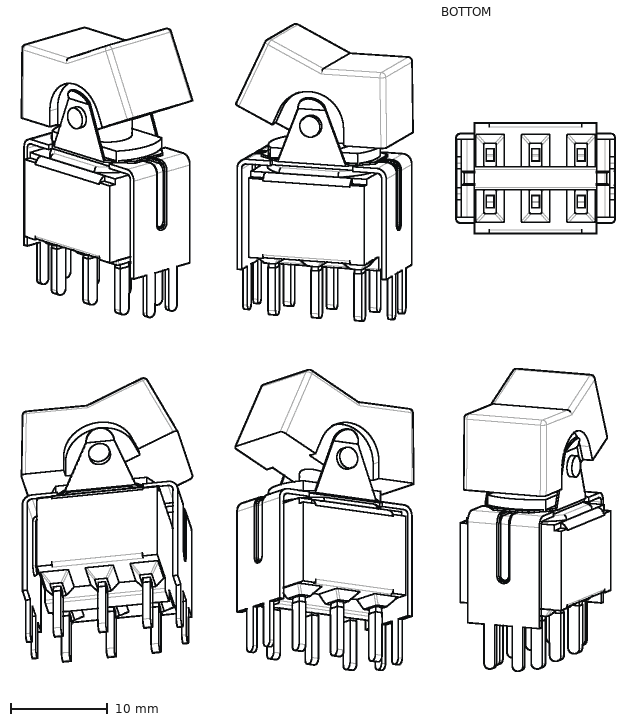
import cadquery as cq
import math


CASE_X = 12.65
CASE_Y = 11.45
CASE_BOTTOM = 6.6
CASE_TOP = 15.53
STRIP_X = 9.53
EDGE_IN = 0.76
EDGE_DROP = 0.76
EDGE_BULGE = 0.132
LEDGE_DROP = 0.6
BOTTOM_ROUND = 0.38
BASE_RIB_Y = 2.35
BASE_RIB_BOTTOM = 5.1
BASE_RIB_ROUND = 0.26

TERMINAL_PITCH = 4.7
TERMINAL_ROW_Y = 2.4
TERMINAL_X = 0.82
STEM_X = 0.76
TERMINAL_Y = 1.3
STEM_Y = 1.25
TERMINAL_ROUND = 0.6
COLLAR_BOTTOM = 5.65
COLLAR_TOP_SIZE = (2.95, 4.3)
COLLAR_BOTTOM_SIZE = (1.3, 2.47)
COLLAR_ROUND = 0.25

DECK_R = 5.9
DECK_Y = 9.89
DECK_ROUND = 0.45

BRACKET_X = 16.33
BRACKET_Y = 8.1
BRACKET_TOP = 16.55
SHEET = 0.5
BEND_R = 1.03
NOTCH_X = 9.0
NOTCH_DEPTH = 0.53
LEG_BOTTOM = 4.88
TAB_TIP = 0.2
TAB_Y = 1.6
TAB_WIDTH = 1.25
TAB_ROUND = 0.6

GROOVE_DEPTH = 0.3
GROOVE_WIDTH = 1.47
GROOVE_MOUTH_DEPTH = 0.12
GROOVE_MOUTH_WIDTH = 1.12
GROOVE_FLOOR_WIDTH = 0.9
RIB_HEIGHT = 0.3
RIB_TIP_WIDTH = 1.12
GROOVE_END_Z = 10.05
GROOVE_END_X = 5.75

WASHER_X = 12.47
WASHER_END_Y = 4.0
EAR_SHEET = 0.2
EAR_FOOT_X = 7.35
EAR_TOP_X = 2.97
EAR_TOP = 22.35
LIP_LENGTH = 1.47
LIP_TILT = 29.0

NUT_R = 5.8
NUT_Y = 6.6
NUT_TOP = 17.83
NECK_D = 5.2
NECK_TOP = 20.0

PIVOT_Z = 20.6
PIN_D = 2.2
PIN_PROUD = 0.55
ROCKER_Y = 9.27
ROCKER_TILT = 12.3
ROCKER_BOTTOM = -1.77
ROCKER_CROWN = 6.18
ROCKER_VALLEY = 6.15
ROCKER_REACH = 8.25
ROCKER_DRAFT = 0.12
ROCKER_ROUND = 0.47
RECESS_R = 3.7
RECESS_FLOOR_Y = 3.53

TOLERANCE = 0.003

WASHER_TOP = BRACKET_TOP + EAR_SHEET
EAR_FACE_Y = BRACKET_Y / 2


def block(size_x, size_y, z_low, z_high, x=0, y=0):
    """Upright block centred on (x, y) between two heights."""
    return cq.Workplane("XY", origin=(x, y, z_low)).rect(size_x, size_y).extrude(z_high - z_low)


def trimmed_disc(radius, width_y, z_low, z_high):
    """Disc with two flats parallel to X."""
    disc = cq.Workplane("XY", origin=(0, 0, z_low)).circle(radius).extrude(z_high - z_low)
    return disc.intersect(block(2 * radius, width_y, z_low, z_high))


def both_sides(solid, plane):
    return solid.union(solid.mirror(plane))


def make_case():
    half_y = CASE_Y / 2
    shoulder_y = half_y - EDGE_IN
    edge_z = CASE_TOP - EDGE_DROP
    chord = math.hypot(EDGE_IN, EDGE_DROP)
    crest = (
        half_y - EDGE_IN / 2 + EDGE_BULGE * EDGE_DROP / chord,
        edge_z + EDGE_DROP / 2 + EDGE_BULGE * EDGE_IN / chord,
    )
    middle = (
        cq.Workplane("YZ")
        .moveTo(0, CASE_BOTTOM)
        .lineTo(half_y - BOTTOM_ROUND, CASE_BOTTOM)
        .radiusArc((half_y, CASE_BOTTOM + BOTTOM_ROUND), -BOTTOM_ROUND)
        .lineTo(half_y, edge_z)
        .threePointArc(crest, (shoulder_y, CASE_TOP))
        .lineTo(0, CASE_TOP)
        .close()
        .extrude(STRIP_X / 2, both=True)
    )
    end_x = (CASE_X - STRIP_X) / 2
    ends = both_sides(
        block(end_x, CASE_Y, CASE_BOTTOM, CASE_TOP - LEDGE_DROP, x=(CASE_X - end_x) / 2), "YZ"
    )
    top = block(CASE_X, 2 * shoulder_y, CASE_BOTTOM, CASE_TOP)
    base_rib = block(CASE_X, BASE_RIB_Y, BASE_RIB_BOTTOM, CASE_BOTTOM)
    base_rib = base_rib.edges("<Z and |X").fillet(BASE_RIB_ROUND)
    return both_sides(middle, "XZ").union(ends).union(top).union(base_rib)


def make_terminal(x, y):
    blade = block(TERMINAL_X, TERMINAL_Y, 0, BASE_RIB_BOTTOM, x, y)
    blade = blade.edges("<Z and |X").fillet(TERMINAL_ROUND)
    stem = block(STEM_X, STEM_Y, BASE_RIB_BOTTOM, CASE_BOTTOM, x, y)
    collar = (
        cq.Workplane("XY", origin=(x, y, COLLAR_BOTTOM))
        .rect(*COLLAR_BOTTOM_SIZE)
        .workplane(offset=CASE_BOTTOM - COLLAR_BOTTOM)
        .rect(*COLLAR_TOP_SIZE)
        .loft(ruled=True)
        .edges("not(|X or |Y)")
        .fillet(COLLAR_ROUND)
    )
    return blade.union(stem).union(collar)


def make_deck():
    deck_top = BRACKET_TOP - SHEET
    return trimmed_disc(DECK_R, DECK_Y, CASE_TOP, deck_top).faces(">Z").edges().fillet(DECK_ROUND)


def pressed_channel(outer_width, inner_width, depth_low, depth_high):
    """Channel of trapezoid section that follows the -X leg, the bend and the top sheet.

    Depths are measured inward from the outer surface of the bracket.
    """
    outer_half = outer_width / 2
    inner_half = inner_width / 2
    leg_x = -BRACKET_X / 2
    bend_x = leg_x + BEND_R
    bend_z = BRACKET_TOP - BEND_R
    section = [
        (leg_x + depth_low, -outer_half),
        (leg_x + depth_low, outer_half),
        (leg_x + depth_high, inner_half),
        (leg_x + depth_high, -inner_half),
    ]
    leg_outline = cq.Workplane("XY", origin=(0, 0, GROOVE_END_Z)).polyline(section).close()
    leg = leg_outline.extrude(bend_z - GROOVE_END_Z)
    rounded_end = (
        cq.Workplane("XZ", origin=(0, 0, GROOVE_END_Z))
        .moveTo(leg_x + depth_low, 0)
        .lineTo(leg_x + depth_low, -outer_half)
        .lineTo(leg_x + depth_high, -inner_half)
        .lineTo(leg_x + depth_high, 0)
        .close()
        .revolve(360, (0, 0, 0), (1, 0, 0))
    )
    bend = (
        cq.Workplane("XY", origin=(0, 0, bend_z))
        .polyline(section)
        .close()
        .revolve(90, (bend_x, 0, 0), (bend_x, 1, 0))
    )
    top_section = [(y, BRACKET_TOP - (x - leg_x)) for x, y in section]
    top_outline = cq.Workplane("YZ", origin=(bend_x, 0, 0)).polyline(top_section).close()
    top = top_outline.extrude(-GROOVE_END_X - bend_x)
    return leg.union(rounded_end).union(bend).union(top)


def make_bracket():
    outside = block(BRACKET_X, BRACKET_Y, LEG_BOTTOM, BRACKET_TOP).edges(">Z and |Y").fillet(BEND_R)
    inside = (
        block(BRACKET_X - 2 * SHEET, BRACKET_Y, LEG_BOTTOM, BRACKET_TOP - SHEET)
        .edges(">Z and |Y")
        .fillet(BEND_R - SHEET)
    )
    bracket = outside.cut(inside)
    notch = block(NOTCH_X, NOTCH_DEPTH, LEG_BOTTOM, BRACKET_TOP, y=(BRACKET_Y - NOTCH_DEPTH) / 2)
    bracket = bracket.cut(both_sides(notch, "XZ"))
    leg_x = (BRACKET_X - SHEET) / 2
    for x in (-leg_x, leg_x):
        for y in (-TAB_Y, TAB_Y):
            tab = block(SHEET, TAB_WIDTH, TAB_TIP, LEG_BOTTOM, x, y).edges("<Z and |X").fillet(TAB_ROUND)
            bracket = bracket.union(tab)
    rib = pressed_channel(GROOVE_WIDTH, RIB_TIP_WIDTH, SHEET, SHEET + RIB_HEIGHT)
    mouth = pressed_channel(GROOVE_WIDTH, GROOVE_MOUTH_WIDTH, 0, GROOVE_MOUTH_DEPTH)
    floor = pressed_channel(GROOVE_MOUTH_WIDTH, GROOVE_FLOOR_WIDTH, GROOVE_MOUTH_DEPTH, GROOVE_DEPTH)
    groove = mouth.union(floor)
    return bracket.union(both_sides(rib, "YZ")).cut(both_sides(groove, "YZ"))


def make_washer():
    """Thin eight-sided washer with two triangular ears whose rounded tips flare outward."""
    half_outline = [
        (-EAR_FOOT_X / 2, -EAR_FACE_Y),
        (EAR_FOOT_X / 2, -EAR_FACE_Y),
        (WASHER_X / 2, -WASHER_END_Y / 2),
        (WASHER_X / 2, WASHER_END_Y / 2),
    ]
    outline = half_outline + [(-x, -y) for x, y in half_outline]
    washer = cq.Workplane("XY", origin=(0, 0, BRACKET_TOP)).polyline(outline).close().extrude(EAR_SHEET)
    ear_plane = cq.Workplane("XZ", origin=(0, -EAR_FACE_Y, 0))
    ear = (
        ear_plane.moveTo(-EAR_FOOT_X / 2, BRACKET_TOP)
        .lineTo(EAR_FOOT_X / 2, BRACKET_TOP)
        .lineTo(EAR_FOOT_X / 2, WASHER_TOP)
        .lineTo(EAR_TOP_X / 2, EAR_TOP)
        .lineTo(-EAR_TOP_X / 2, EAR_TOP)
        .lineTo(-EAR_FOOT_X / 2, WASHER_TOP)
        .close()
        .extrude(-EAR_SHEET)
    )
    hinge_y = EAR_SHEET - EAR_FACE_Y
    lip = (
        ear_plane.moveTo(-EAR_TOP_X / 2, EAR_TOP)
        .threePointArc((0, EAR_TOP + LIP_LENGTH), (EAR_TOP_X / 2, EAR_TOP))
        .close()
        .extrude(-EAR_SHEET)
        .rotate((0, hinge_y, EAR_TOP), (1, hinge_y, EAR_TOP), LIP_TILT)
    )
    return washer.union(both_sides(ear.union(lip), "XZ"))


def make_bushing():
    nut = trimmed_disc(NUT_R, NUT_Y, BRACKET_TOP, NUT_TOP)
    neck = cq.Workplane("XY", origin=(0, 0, NUT_TOP)).circle(NECK_D / 2).extrude(NECK_TOP - NUT_TOP)
    return nut.union(neck)


def make_rocker():
    """Rocker symmetric about a line through the pivot, turned so that its left half lies almost level."""
    tilt = math.radians(ROCKER_TILT)

    def turned(x, z, angle):
        return (x * math.cos(angle) - z * math.sin(angle), x * math.sin(angle) + z * math.cos(angle))

    def mirrored(point):
        x, z = turned(point[0], point[1], -tilt)
        return turned(-x, z, tilt)

    low_left = (-ROCKER_REACH, ROCKER_BOTTOM)
    high_left = (-ROCKER_REACH + ROCKER_DRAFT, ROCKER_CROWN)
    valley = (-ROCKER_VALLEY * math.tan(tilt), ROCKER_VALLEY)
    low_middle = (-ROCKER_BOTTOM * math.tan(tilt), ROCKER_BOTTOM)
    outline = [low_left, high_left, valley, mirrored(high_left), mirrored(low_left), low_middle]
    pivot_plane = cq.Workplane("XZ", origin=(0, 0, PIVOT_Z))
    body = pivot_plane.polyline(outline).close().extrude(ROCKER_Y / 2, both=True)

    def is_sharp(edge):
        """True for the edges of the underside and for the valley across the top."""
        x, z = edge.Center().x, edge.Center().z - PIVOT_Z
        lowest = min(z, mirrored((x, z))[1])
        on_underside = abs(lowest - ROCKER_BOTTOM) < TOLERANCE
        in_valley = math.dist((x, z), valley) < TOLERANCE
        return on_underside or in_valley

    rounded_edges = [edge for edge in body.edges().vals() if not is_sharp(edge)]
    body = body.newObject(rounded_edges).fillet(ROCKER_ROUND)

    recess_left = (-RECESS_R, 0)
    recess_low = (-RECESS_R, 2 * ROCKER_BOTTOM)
    recess_top = turned(0, RECESS_R, tilt)
    recess = (
        cq.Workplane("XZ", origin=(0, -RECESS_FLOOR_Y, PIVOT_Z))
        .moveTo(*recess_low)
        .lineTo(*recess_left)
        .threePointArc(recess_top, mirrored(recess_left))
        .lineTo(*mirrored(recess_low))
        .close()
        .extrude(ROCKER_Y / 2 - RECESS_FLOOR_Y)
    )
    return body.cut(both_sides(recess, "XZ"))


def make_pivot_pin():
    pin = cq.Workplane("XZ", origin=(0, 0, PIVOT_Z)).circle(PIN_D / 2)
    return pin.extrude(EAR_FACE_Y + PIN_PROUD, both=True)


result = make_case()
for column in (-1, 0, 1):
    for row in (-1, 1):
        result = result.union(make_terminal(column * TERMINAL_PITCH, row * TERMINAL_ROW_Y))
for make_part in (make_deck, make_bracket, make_washer, make_bushing, make_rocker, make_pivot_pin):
    result = result.union(make_part())